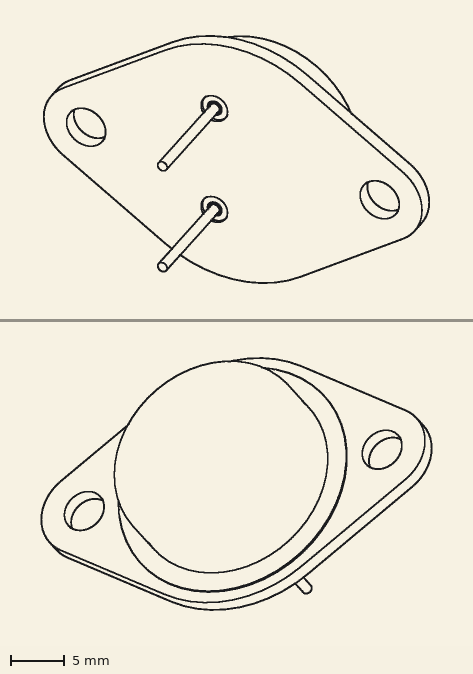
import cadquery as cq
import math

PLATE_LENGTH = 38.75
PLATE_HEIGHT = 25.2
PLATE_THICKNESS = 1.6
HOLE_OFFSET = 15.05
HOLE_DIAMETER = 4.0
MIDDLE_RADIUS = PLATE_HEIGHT / 2
END_RADIUS = PLATE_LENGTH / 2 - HOLE_OFFSET

CAP_HEIGHT = 5.7
CAP_RADIUS = 9.73
CAP_EDGE_RADIUS = 0.6
RIM_RADIUS = 11.5
RIM_EDGE_THICKNESS = 0.2
RIM_ROOT_THICKNESS = 0.4

LEAD_X = -1.9
LEAD_SPACING = 10.95
LEAD_HEIGHTS = (-LEAD_SPACING / 2, LEAD_SPACING / 2)
LEAD_DIAMETER = 0.95
LEAD_RADIUS = LEAD_DIAMETER / 2
LEAD_PROJECTION = 11.28
SLEEVE_RADIUS = 0.62
SEAL_LAND_RADIUS = 0.75
SEAL_RADIUS = 1.35
SEAL_LAND_RECESS = 0.08
SEAL_EDGE_RECESS = 0.3
MENISCUS_RADIUS = 1.82


def cylinder(radius, start_y, end_y, x=0.0, z=0.0):
    """Solid cylinder along Y between two Y positions."""
    return cq.Workplane("XZ", origin=(x, start_y, z)).circle(radius).extrude(start_y - end_y)


def make_plate():
    """Rhombic plate: two end arcs and two middle arcs joined by tangent lines."""
    tangent_sin = (MIDDLE_RADIUS - END_RADIUS) / HOLE_OFFSET
    tangent_cos = math.sqrt(1 - tangent_sin**2)
    middle_x = MIDDLE_RADIUS * tangent_sin
    middle_z = MIDDLE_RADIUS * tangent_cos
    end_x = HOLE_OFFSET + END_RADIUS * tangent_sin
    end_z = END_RADIUS * tangent_cos
    plate = (
        cq.Workplane("XZ")
        .moveTo(-middle_x, middle_z)
        .threePointArc((0, MIDDLE_RADIUS), (middle_x, middle_z))
        .lineTo(end_x, end_z)
        .threePointArc((PLATE_LENGTH / 2, 0), (end_x, -end_z))
        .lineTo(middle_x, -middle_z)
        .threePointArc((0, -MIDDLE_RADIUS), (-middle_x, -middle_z))
        .lineTo(-end_x, -end_z)
        .threePointArc((-PLATE_LENGTH / 2, 0), (-end_x, end_z))
        .close()
        .extrude(-PLATE_THICKNESS)
    )
    for side in (-1, 1):
        plate = plate.cut(cylinder(HOLE_DIAMETER / 2, 0, PLATE_THICKNESS, side * HOLE_OFFSET))
    for z in LEAD_HEIGHTS:
        plate = plate.cut(cylinder(SEAL_RADIUS, 0, PLATE_THICKNESS, LEAD_X, z))
    return plate


def make_cap():
    """Cap turned about the Y axis, standing on the back of the plate."""
    base_y = PLATE_THICKNESS
    top_y = base_y + CAP_HEIGHT
    return (
        cq.Workplane("XY")
        .moveTo(0, base_y)
        .lineTo(RIM_RADIUS, base_y)
        .lineTo(RIM_RADIUS, base_y + RIM_EDGE_THICKNESS)
        .lineTo(CAP_RADIUS, base_y + RIM_ROOT_THICKNESS)
        .lineTo(CAP_RADIUS, top_y - CAP_EDGE_RADIUS)
        .radiusArc((CAP_RADIUS - CAP_EDGE_RADIUS, top_y), -CAP_EDGE_RADIUS)
        .lineTo(0, top_y)
        .close()
        .revolve(360, (0, 0, 0), (0, 1, 0))
    )


def make_lead(z):
    """Round lead reaching from the back face of the plate out through its front."""
    return cylinder(LEAD_RADIUS, -LEAD_PROJECTION, PLATE_THICKNESS, LEAD_X, z)


def make_sleeve(z):
    """Thin tube between a lead and its seal, level with the flat land of the seal."""
    tube = cylinder(SLEEVE_RADIUS, SEAL_LAND_RECESS, PLATE_THICKNESS, LEAD_X, z)
    return tube.cut(cylinder(LEAD_RADIUS, SEAL_LAND_RECESS, PLATE_THICKNESS, LEAD_X, z))


def make_seal(z):
    """Glass ring whose hollow front rises from its outer edge to a flat land at the sleeve."""
    return (
        cq.Workplane("XY")
        .moveTo(SLEEVE_RADIUS, SEAL_LAND_RECESS)
        .lineTo(SEAL_LAND_RADIUS, SEAL_LAND_RECESS)
        .radiusArc((SEAL_RADIUS, SEAL_EDGE_RECESS), MENISCUS_RADIUS)
        .lineTo(SEAL_RADIUS, PLATE_THICKNESS)
        .lineTo(SLEEVE_RADIUS, PLATE_THICKNESS)
        .close()
        .revolve(360, (0, 0, 0), (0, 1, 0))
        .translate((LEAD_X, 0, z))
    )


plate = make_plate()
cap = make_cap()
leads = [make_lead(z).val() for z in LEAD_HEIGHTS]
sleeves = [make_sleeve(z).val() for z in LEAD_HEIGHTS]
seals = [make_seal(z).val() for z in LEAD_HEIGHTS]

result = cq.Compound.makeCompound([plate.val(), cap.val(), *leads, *sleeves, *seals])